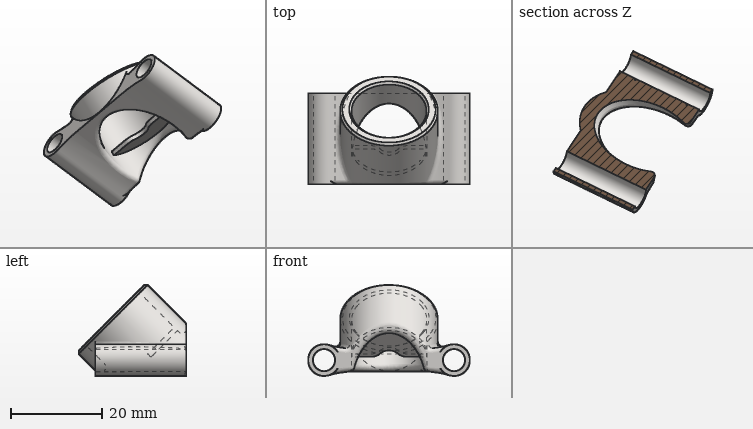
import cadquery as cq
import math

TUBE_OUTER_DIA = 7.0
TUBE_BORE_DIA = 4.8
TUBE_SPACING = 28.5
BODY_LENGTH = 20.0

RING_OUTER_DIA = 21.45
RING_BORE_DIA = 16.45
RING_TILT = 45.0
RING_AXIS_Y = 7.14
RING_TOP = 13.12
RING_CHAMFER = 0.5

WEB_HALF_THICKNESS = 2.5
WEB_BLEND_RADIUS = 20.0

STOP_OFFSET = 1.0
STOP_THICKNESS = 1.0
NOTCH_DEPTH = 2.0
NOTCH_RADIUS = 2.5

BLEND_RADIUS = 1.0
OVERSIZE = 40.0
TOLERANCE = 0.1

TUBE_X = TUBE_SPACING / 2
TUBE_RADIUS = TUBE_OUTER_DIA / 2
RING_RADIUS = RING_OUTER_DIA / 2
BORE_RADIUS = RING_BORE_DIA / 2
BOTTOM_Z = -WEB_HALF_THICKNESS


def ring_plane(distance):
    """Plane square to the ring axis; local Y points up and to the front."""
    tilt = math.radians(RING_TILT)
    axis = (0, math.sin(tilt), math.cos(tilt))
    origin = (0, RING_AXIS_Y + distance * axis[1], distance * axis[2])
    return cq.Plane(origin=origin, xDir=(-1, 0, 0), normal=axis)


def front_plane():
    """XZ plane at Y = 0 that extrudes towards +Y with a mirrored local X."""
    return cq.Plane(origin=(0, 0, 0), xDir=(-1, 0, 0), normal=(0, 1, 0))


def tubes(diameter):
    """Pair of solid cylinders over the clamp axes."""
    centers = [(-TUBE_X, 0), (TUBE_X, 0)]
    return cq.Workplane(front_plane()).pushPoints(centers).circle(diameter / 2).extrude(BODY_LENGTH)


def web():
    """Plate between the tubes, with wide concave blends that run tangent into them."""
    sweep = math.acos((WEB_HALF_THICKNESS + WEB_BLEND_RADIUS) / (TUBE_RADIUS + WEB_BLEND_RADIUS))
    tangent_x = TUBE_X - TUBE_RADIUS * math.sin(sweep)
    tangent_z = TUBE_RADIUS * math.cos(sweep)
    level_x = tangent_x - WEB_BLEND_RADIUS * math.sin(sweep)
    middle_x = level_x + WEB_BLEND_RADIUS * math.sin(sweep / 2)
    middle_z = WEB_HALF_THICKNESS + WEB_BLEND_RADIUS * (1 - math.cos(sweep / 2))
    return (
        cq.Workplane(front_plane())
        .moveTo(TUBE_X, tangent_z)
        .lineTo(tangent_x, tangent_z)
        .threePointArc((middle_x, middle_z), (level_x, WEB_HALF_THICKNESS))
        .lineTo(-level_x, WEB_HALF_THICKNESS)
        .threePointArc((-middle_x, middle_z), (-tangent_x, tangent_z))
        .lineTo(-TUBE_X, tangent_z)
        .lineTo(-TUBE_X, -tangent_z)
        .lineTo(-tangent_x, -tangent_z)
        .threePointArc((-middle_x, -middle_z), (-level_x, BOTTOM_Z))
        .lineTo(level_x, BOTTOM_Z)
        .threePointArc((middle_x, -middle_z), (tangent_x, -tangent_z))
        .lineTo(TUBE_X, -tangent_z)
        .close()
        .extrude(BODY_LENGTH)
    )


def ring():
    """Solid tilted cylinder, cut off flush with the front and the bottom of the web."""
    axis = ring_plane(0).zDir
    cylinder = (
        cq.Workplane(ring_plane(RING_TOP))
        .circle(RING_RADIUS)
        .extrude(-OVERSIZE)
        .faces(cq.selectors.DirectionMinMaxSelector(axis, True))
        .chamfer(RING_CHAMFER)
    )
    kept = cq.Workplane("XY").box(OVERSIZE, OVERSIZE, OVERSIZE, centered=(True, False, False))
    return cylinder.intersect(kept.translate((0, 0, BOTTOM_Z)))


def ring_bore():
    """Cylinder along the ring axis that opens through the front and the bottom."""
    return cq.Workplane(ring_plane(RING_TOP)).circle(BORE_RADIUS).extrude(-OVERSIZE)


def bore_chamfer():
    """Cone that breaks the upper edge of the ring bore."""
    return (
        cq.Workplane(ring_plane(RING_TOP))
        .circle(BORE_RADIUS + RING_CHAMFER)
        .workplane(offset=-RING_CHAMFER)
        .circle(BORE_RADIUS)
        .loft()
    )


def edges_between(part, low_corner, high_corner):
    """Curved edges whose centers lie inside the given box."""
    return part.edges(cq.selectors.BoxSelector(low_corner, high_corner)).edges("not %LINE").vals()


def blend_ring_foot(part):
    """Round the corner between the ring and the top of the web."""
    low_z = WEB_HALF_THICKNESS
    high_z = TUBE_RADIUS
    edges = []
    for side in (-1, 1):
        inner = (side * RING_RADIUS / 2, TOLERANCE, low_z)
        outer = (side * RING_RADIUS, BODY_LENGTH - TOLERANCE, high_z)
        edges += edges_between(part, inner, outer)
    return part.newObject(edges).fillet(BLEND_RADIUS)


def blend_front_and_bore(part):
    """Round the edges of the front face and the lower edge of the bore."""
    front = part.edges("<Y").edges("not %LINE").vals()
    lower_bore = edges_between(
        part,
        (-RING_RADIUS, TOLERANCE, BOTTOM_Z - TOLERANCE),
        (RING_RADIUS, BODY_LENGTH - TOLERANCE, BOTTOM_Z + TOLERANCE),
    )
    return part.newObject(front + lower_bore).fillet(BLEND_RADIUS)


def stop():
    """Half disc across the upper front half of the bore."""
    swing = math.acos(1 - NOTCH_DEPTH / (2 * NOTCH_RADIUS))
    half_rise = NOTCH_DEPTH / 2
    half_run = NOTCH_RADIUS * math.sin(swing)
    bend_x = NOTCH_RADIUS * math.sin(swing / 2)
    bend_y = NOTCH_RADIUS * (1 - math.cos(swing / 2))
    seat_radius = (BORE_RADIUS + RING_RADIUS) / 2
    return (
        cq.Workplane(ring_plane(STOP_OFFSET))
        .moveTo(-seat_radius, 0)
        .lineTo(-2 * half_run, 0)
        .threePointArc((-2 * half_run + bend_x, bend_y), (-half_run, half_rise))
        .threePointArc((-bend_x, NOTCH_DEPTH - bend_y), (0, NOTCH_DEPTH))
        .threePointArc((bend_x, NOTCH_DEPTH - bend_y), (half_run, half_rise))
        .threePointArc((2 * half_run - bend_x, bend_y), (2 * half_run, 0))
        .lineTo(seat_radius, 0)
        .threePointArc((0, seat_radius), (-seat_radius, 0))
        .close()
        .extrude(STOP_THICKNESS)
    )


saddle = blend_ring_foot(web().union(ring()))
saddle = blend_front_and_bore(saddle.cut(ring_bore()))
saddle = saddle.cut(bore_chamfer()).union(stop())
result = saddle.union(tubes(TUBE_OUTER_DIA)).cut(tubes(TUBE_BORE_DIA))